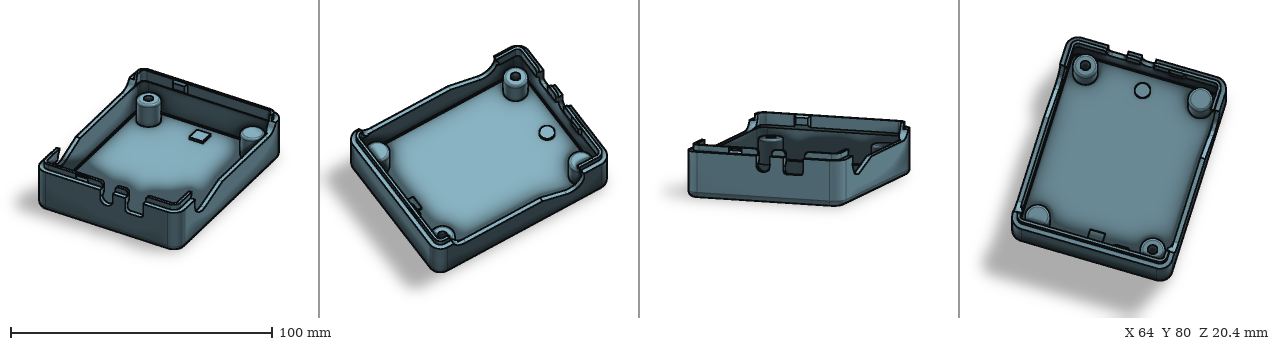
import cadquery as cq
import math

LENGTH_X = 64.0
LENGTH_Y = 80.0
HEIGHT = 20.4
CORNER_RADIUS = 5.0
BOTTOM_FILLET = 2.4

WALL = 1.9
FLOOR = 2.0
FLOOR_CHAMFER = 0.5
LIP_HEIGHT = 2.4
LIP_INSET = 2.0
LIP_THICKNESS = 1.2
LIP_INNER_INSET = LIP_INSET + LIP_THICKNESS
LIP_OVERHANG = LIP_INNER_INSET - WALL
LIP_SUPPORT_BOTTOM = 14.4
LIP_SUPPORT_TOP = LIP_SUPPORT_BOTTOM + LIP_OVERHANG
SHOULDER_Z = HEIGHT - LIP_HEIGHT

POST_DIAMETER = 9.6
POST_HEIGHT = 10.0
POST_FILLET = 1.0
POST_X = 23.0
POST_Y = 31.5
SCREW_HOLE_DIAMETER = 3.7

PAD_Y = 31.0
PAD_HEIGHT = 1.0
SQUARE_PAD_SIDE = 6.0
ROUND_PAD_DIAMETER = 6.0

LED_NOTCH_WIDTH = 5.6
LED_NOTCH_BOTTOM = 11.8
LED_NOTCH_X = 0.0
LED_CORNER_RADIUS = LED_NOTCH_WIDTH / 2
QWIIC_NOTCH_WIDTH = 8.0
QWIIC_NOTCH_BOTTOM = 11.5
QWIIC_NOTCH_X = 12.3
QWIIC_CORNER_RADIUS = 1.5
NOTCH_LIP_RADIUS = 1.5

CUTOUT_RADIUS = 6.0
SILL_Z = 14.4
SCOOP_CENTER_Z = 15.9
HOOK_Z = 19.5
LEFT_BACK_Y = 32.6
LEFT_SCOOP_Y = -21.4
LEFT_RAMP_Y = -8.3
RIGHT_BACK_Y = 34.6
RIGHT_SCOOP_Y = -21.7
RIGHT_RAMP_Y = -6.6

SNAP_X = -12.1
GROOVE_WIDTH = 5.2
GROOVE_DEPTH = 0.9
GROOVE_Z = 19.0
RIDGE_DEPTH = 1.0
RIDGE_BASE_WIDTH = 6.8


def rounded_block(inset, bottom, top):
    """Upright block with rounded corners, set in from the outer sides."""
    return (
        cq.Workplane("XY", origin=(0, 0, bottom))
        .rect(LENGTH_X - 2 * inset, LENGTH_Y - 2 * inset)
        .extrude(top - bottom)
        .edges("|Z")
        .fillet(CORNER_RADIUS - inset)
    )


def make_shell():
    """Open box with a stepped rim and a lip that overhangs the inside."""
    body = rounded_block(0, 0, SHOULDER_Z).faces("<Z").edges().fillet(BOTTOM_FILLET)
    body = body.union(rounded_block(LIP_INSET, FLOOR, HEIGHT))
    cavity = rounded_block(WALL, FLOOR, LIP_SUPPORT_TOP)
    cavity = cavity.faces(">Z").edges().chamfer(LIP_OVERHANG)
    cavity = cavity.faces("<Z").edges().chamfer(FLOOR_CHAMFER)
    opening = rounded_block(LIP_INNER_INSET, FLOOR, HEIGHT)
    return body.cut(cavity).cut(opening)


def add_posts(body):
    """Four round posts; two opposite ones carry a screw hole through the floor."""
    for side_x in (-1, 1):
        for side_y in (-1, 1):
            center = (side_x * POST_X, side_y * POST_Y, FLOOR)
            post = cq.Workplane("XY", origin=center).circle(POST_DIAMETER / 2).extrude(POST_HEIGHT)
            body = body.union(post.faces(">Z").edges().fillet(POST_FILLET))
    holes = (
        cq.Workplane("XY")
        .pushPoints([(-POST_X, POST_Y), (POST_X, -POST_Y)])
        .circle(SCREW_HOLE_DIAMETER / 2)
        .extrude(HEIGHT)
    )
    return body.cut(holes)


def add_pads(body):
    """Square pad near the back wall and round pad near the front wall."""
    square = cq.Workplane("XY", origin=(0, PAD_Y, FLOOR)).rect(SQUARE_PAD_SIDE, SQUARE_PAD_SIDE)
    disc = cq.Workplane("XY", origin=(0, -PAD_Y, FLOOR)).circle(ROUND_PAD_DIAMETER / 2)
    return body.union(square.extrude(PAD_HEIGHT)).union(disc.extrude(PAD_HEIGHT))


def front_notch(center_x, width, bottom, corner_radius):
    """Cutter for a cable notch with rounded bottom corners and a flared mouth."""
    half = width / 2
    low = bottom + corner_radius
    mouth = half + NOTCH_LIP_RADIUS
    flare_z = HEIGHT - NOTCH_LIP_RADIUS
    corner_mid = corner_radius * (1 - math.sqrt(0.5))
    flare_mid = NOTCH_LIP_RADIUS * (1 - math.sqrt(0.5))
    profile = (
        cq.Workplane("XZ", origin=(center_x, -LENGTH_Y / 2 + LIP_INNER_INSET, 0))
        .moveTo(-mouth, HEIGHT)
        .threePointArc((-half - flare_mid, HEIGHT - flare_mid), (-half, flare_z))
        .lineTo(-half, low)
        .threePointArc((-half + corner_mid, bottom + corner_mid), (-half + corner_radius, bottom))
    )
    if corner_radius < half:
        profile = profile.lineTo(half - corner_radius, bottom)
    profile = (
        profile.threePointArc((half - corner_mid, bottom + corner_mid), (half, low))
        .lineTo(half, flare_z)
        .threePointArc((half + flare_mid, HEIGHT - flare_mid), (mouth, HEIGHT))
        .close()
    )
    return profile.extrude(LIP_INNER_INSET)


def side_cutout(start_x, back_y, scoop_y, ramp_y):
    """Cutter for a side wall: rounded back end, level sill, ramp and round scoop."""
    sill_end_y = back_y - CUTOUT_RADIUS
    back_mid = CUTOUT_RADIUS * math.sqrt(0.5)
    reach_y = ramp_y - scoop_y
    drop = SILL_Z - SCOOP_CENTER_Z
    distance = math.hypot(reach_y, drop)
    tangent_angle = math.atan2(drop, reach_y) - math.acos(CUTOUT_RADIUS / distance)
    hook_angle = math.asin((HOOK_Z - SCOOP_CENTER_Z) / CUTOUT_RADIUS)

    def on_scoop(angle):
        return (
            scoop_y + CUTOUT_RADIUS * math.cos(angle),
            SCOOP_CENTER_Z + CUTOUT_RADIUS * math.sin(angle),
        )

    hook = on_scoop(math.pi - hook_angle)
    profile = (
        cq.Workplane("YZ", origin=(start_x, 0, 0))
        .moveTo(back_y, HEIGHT)
        .threePointArc(
            (sill_end_y + back_mid, SILL_Z + CUTOUT_RADIUS - back_mid),
            (sill_end_y, SILL_Z),
        )
        .lineTo(ramp_y, SILL_Z)
        .lineTo(*on_scoop(tangent_angle))
        .threePointArc(on_scoop(-math.pi * 0.75), hook)
        .lineTo(hook[0], HEIGHT)
        .close()
    )
    return profile.extrude(LIP_INNER_INSET)


def snap_groove():
    """V-shaped bar along X with 45-degree flanks, starting at the front lip's outer side."""
    outer_y = -LENGTH_Y / 2 + LIP_INSET
    return (
        cq.Workplane("YZ", origin=(SNAP_X - GROOVE_WIDTH / 2, 0, 0))
        .moveTo(outer_y, GROOVE_Z - GROOVE_DEPTH)
        .lineTo(outer_y + GROOVE_DEPTH, GROOVE_Z)
        .lineTo(outer_y, GROOVE_Z + GROOVE_DEPTH)
        .close()
        .extrude(GROOVE_WIDTH)
    )


def snap_ridge():
    """Bulge on the front lip's inner side, with all four flanks at 45 degrees."""
    lip_y = -LENGTH_Y / 2 + LIP_INNER_INSET
    tip_y = lip_y + RIDGE_DEPTH
    bar = (
        cq.Workplane("YZ", origin=(SNAP_X - RIDGE_BASE_WIDTH / 2, 0, 0))
        .moveTo(lip_y, LIP_SUPPORT_TOP)
        .lineTo(tip_y, LIP_SUPPORT_TOP + RIDGE_DEPTH)
        .lineTo(tip_y, HEIGHT - RIDGE_DEPTH)
        .lineTo(lip_y, HEIGHT)
        .close()
        .extrude(RIDGE_BASE_WIDTH)
    )
    half_base = RIDGE_BASE_WIDTH / 2
    half_tip = half_base - RIDGE_DEPTH
    plan = (
        cq.Workplane("XY", origin=(SNAP_X, 0, 0))
        .moveTo(-half_base, lip_y)
        .lineTo(-half_tip, tip_y)
        .lineTo(half_tip, tip_y)
        .lineTo(half_base, lip_y)
        .close()
        .extrude(HEIGHT)
    )
    return bar.intersect(plan)


def add_snaps(body):
    """Snap detents on the front lip, mirrored onto the back lip."""
    ridge = snap_ridge()
    groove = snap_groove()
    body = body.union(ridge).union(ridge.mirror("XZ"))
    return body.cut(groove).cut(groove.mirror("XZ"))


def cut_front_notches(body):
    """Round-bottomed LED notch and wider connector notch in the front wall."""
    led = front_notch(LED_NOTCH_X, LED_NOTCH_WIDTH, LED_NOTCH_BOTTOM, LED_CORNER_RADIUS)
    qwiic = front_notch(QWIIC_NOTCH_X, QWIIC_NOTCH_WIDTH, QWIIC_NOTCH_BOTTOM, QWIIC_CORNER_RADIUS)
    return body.cut(led).cut(qwiic)


def cut_side_walls(body):
    """Slightly different cutouts in the -X and +X walls."""
    left = side_cutout(-LENGTH_X / 2, LEFT_BACK_Y, LEFT_SCOOP_Y, LEFT_RAMP_Y)
    right_start = LENGTH_X / 2 - LIP_INNER_INSET
    right = side_cutout(right_start, RIGHT_BACK_Y, RIGHT_SCOOP_Y, RIGHT_RAMP_Y)
    return body.cut(left).cut(right)


result = make_shell()
result = add_posts(result)
result = add_pads(result)
result = cut_front_notches(result)
result = cut_side_walls(result)
result = add_snaps(result)